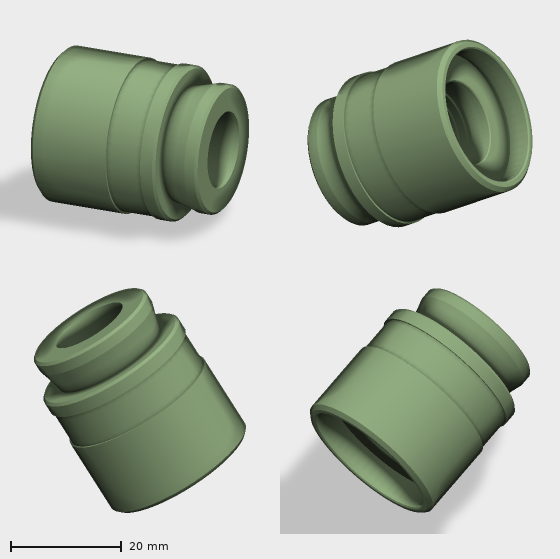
import cadquery as cq

total_length = 32.0
body_diameter = 28.58
waist_diameter = 27.8
waist_start = 15.07
collar_start = 21.9
collar_end = 24.7
mouth_chamfer = 0.75
end_chamfer = 0.48

flare_end = 29.57
flare_root_diameter = 21.38
flare_middle_diameter = 22.4
nozzle_rim_diameter = 23.85

socket_diameter = 25.0
socket_mouth_diameter = 25.47
socket_relief_diameter = 25.75
socket_relief_start = 4.22
socket_floor = 5.15

bore_diameter = 15.5
bore_mouth_diameter = 15.87
bore_relief_diameter = 16.25
bore_relief_start = 9.28
bore_floor = 10.27

seat_diameter = 15.0
ring_start = 11.75
seat_floor = 13.35
ring_hole_diameter = 14.0
passage_diameter = 14.15


def disc(start, end, diameter):
    """Solid cylinder about the X axis between two stations."""
    return cq.Workplane("YZ", origin=(start, 0, 0)).circle(diameter / 2).extrude(end - start)


def relieved_hole(start, floor, relief_start, diameter, mouth_diameter, relief_diameter):
    """Cutter for a hole with a chamfered mouth and a relief groove at its floor."""
    lead = (mouth_diameter - diameter) / 2
    outline = [
        (start, 0),
        (start, mouth_diameter / 2),
        (start + lead, diameter / 2),
        (relief_start, diameter / 2),
        (relief_start, relief_diameter / 2),
        (floor, relief_diameter / 2),
        (floor, 0),
    ]
    return cq.Workplane("XY").polyline(outline).close().revolve(360, (0, 0, 0), (1, 0, 0))


def make_flare():
    """Nozzle beyond the collar: a hollow-curved flare and a chamfered rim."""
    flare = (
        cq.Workplane("XY")
        .moveTo(collar_end, 0)
        .lineTo(collar_end, flare_root_diameter / 2)
        .threePointArc(
            ((collar_end + flare_end) / 2, flare_middle_diameter / 2),
            (flare_end, nozzle_rim_diameter / 2),
        )
        .lineTo(flare_end, 0)
        .close()
        .revolve(360, (0, 0, 0), (1, 0, 0))
    )
    rim = disc(flare_end, total_length, nozzle_rim_diameter).faces(">X").chamfer(end_chamfer)
    return flare.union(rim)


def make_shell():
    """Outside of the housing, still without its holes."""
    barrel = disc(0, waist_start, body_diameter).faces("<X").chamfer(mouth_chamfer)
    waist = disc(waist_start, collar_start, waist_diameter)
    collar = disc(collar_start, collar_end, body_diameter).faces(">X").chamfer(end_chamfer)
    return barrel.union(waist).union(collar).union(make_flare())


def make_housing():
    """Housing with two relieved holes, the ring seat and the passage through the nozzle."""
    socket = relieved_hole(
        0, socket_floor, socket_relief_start,
        socket_diameter, socket_mouth_diameter, socket_relief_diameter,
    )
    bore = relieved_hole(
        socket_floor, bore_floor, bore_relief_start,
        bore_diameter, bore_mouth_diameter, bore_relief_diameter,
    )
    seat = disc(bore_floor, seat_floor, seat_diameter)
    passage = disc(seat_floor, total_length, passage_diameter)
    return make_shell().cut(socket).cut(bore).cut(seat).cut(passage)


def make_ring():
    """Plain ring that fills the inner end of the seat."""
    return disc(ring_start, seat_floor, seat_diameter).cut(
        disc(ring_start, seat_floor, ring_hole_diameter)
    )


housing = make_housing()
ring = make_ring()
result = cq.Compound.makeCompound([housing.solids().val(), ring.solids().val()])